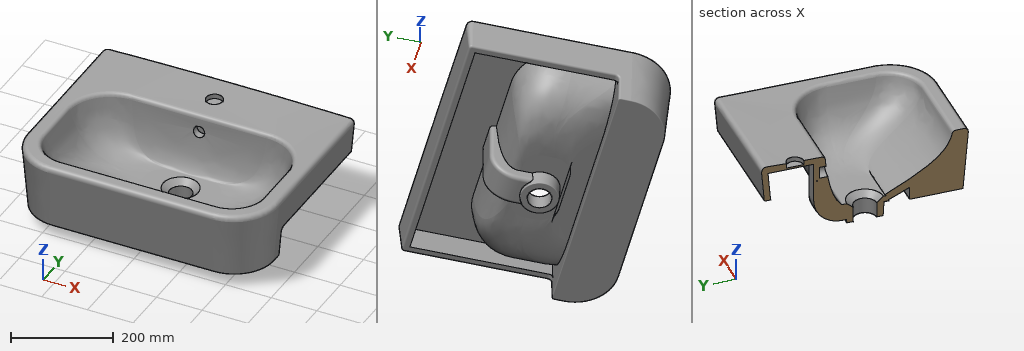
import cadquery as cq
import math

WIDTH = 550.1
DEPTH = 430.1
OVERALL_HEIGHT = 169.24
HALF_WIDTH = WIDTH / 2
HALF_DEPTH = DEPTH / 2
CROWN = 3.22
DRAIN_BOTTOM = CROWN - OVERALL_HEIGHT

RIM_BAND = 11.0
RIM_FILLET = 10.5
DRAFT = 4.9
FRONT_CORNER = 98.0
BACK_CORNER = 12.0
MIN_CORNER = 1.0
SKIRT_BOTTOM = -140.5
SIDE_BOTTOM = -77.0
APRON_BACK = -92.0
NOTCH_RADIUS = 8.0
APRON_EDGE_FILLET = 4.5
BOTTOM_FILLET = 2.0
SELECT_MARGIN = 1.0
WALL = 14.0

MOUTH_Z = 8.0
FLOOR_Z = -120.0

BOWL_STATIONS = [
    (MOUTH_Z, 242.0, 82.5, -180.5, 92.0, 70.0),
    (-75.0, 208.0, 71.0, -122.0, 72.0, 55.0),
    (-100.0, 180.0, 62.0, -76.0, 60.0, 45.0),
    (FLOOR_Z, 81.0, 45.6, -50.0, 38.0, 38.0),
]
MOUTH_FILLET = 9.0

DRAIN_BORE = 48.0
DRAIN_SEAT = 76.0
DRAIN_SEAT_DEPTH = 12.0
TUBE_TOP_DIAMETER = 82.5
TUBE_BOTTOM_DIAMETER = 76.5
TUBE_EDGE_FILLET = 1.5

CHANNEL_HALF_WIDTH = 33.0
CHANNEL_BACK = 107.0
CHANNEL_BOTTOM = -158.0
CHANNEL_BEND = 60.0
CHANNEL_FILLET = 8.0
OVERFLOW_DIAMETER = 24.0
OVERFLOW_Z = -36.0
OVERFLOW_END = 94.0

TAP_DIAMETER = 35.0
TAP_Y = 145.0
TAP_FLOOR = -9.0

FLAT_RISE = 0.02
EDGE_RISE = 3.76
CROWN_STATIONS = [
    (-HALF_DEPTH, FLAT_RISE),
    (-50.0, FLAT_RISE),
    (90.0, FLAT_RISE),
    (HALF_DEPTH, EDGE_RISE),
]


def rounded_outline(z, half_width, back, front, back_radius, front_radius):
    """Closed outline on the plane Z = z with separate front and back corner radii."""
    def mid(radius):
        return radius * (1 - math.sqrt(0.5))

    back_mid = mid(back_radius)
    front_mid = mid(front_radius)
    return (
        cq.Workplane("XY", origin=(0, 0, z))
        .moveTo(-half_width + front_radius, front)
        .lineTo(half_width - front_radius, front)
        .threePointArc((half_width - front_mid, front + front_mid), (half_width, front + front_radius))
        .lineTo(half_width, back - back_radius)
        .threePointArc((half_width - back_mid, back - back_mid), (half_width - back_radius, back))
        .lineTo(-half_width + back_radius, back)
        .threePointArc((-half_width + back_mid, back - back_mid), (-half_width, back - back_radius))
        .lineTo(-half_width, front + front_radius)
        .threePointArc((-half_width + front_mid, front + front_mid), (-half_width + front_radius, front))
        .close()
    )


def skirt_outline(z, inset=0.0):
    """Outline of the basin, moved inwards by inset."""
    return rounded_outline(
        z,
        HALF_WIDTH - inset,
        HALF_DEPTH - inset,
        -HALF_DEPTH + inset,
        max(BACK_CORNER - inset, MIN_CORNER),
        FRONT_CORNER - inset,
    )


def bowl_solid(thickness=0.0):
    """Bowl lofted through its stations, grown by thickness: downwards, and outwards above the floor."""
    wires = []
    for z, half_width, back, front, back_radius, front_radius in BOWL_STATIONS:
        drop = thickness if z < 0 else 0.0
        spread = thickness if z > FLOOR_Z else 0.0
        station = rounded_outline(
            z - drop,
            half_width + spread,
            back + spread,
            front - spread,
            back_radius + spread,
            front_radius + spread,
        )
        wires.append(station.wire().val())
    return cq.Workplane(cq.Solid.makeLoft(wires))


def deck_section(y, rise):
    """Upright section of the rim band at Y = y, its top edge arched by rise."""
    return (
        cq.Workplane("XZ", origin=(0, y, 0))
        .moveTo(-HALF_WIDTH, -RIM_BAND)
        .lineTo(-HALF_WIDTH, 0)
        .threePointArc((0, rise), (HALF_WIDTH, 0))
        .lineTo(HALF_WIDTH, -RIM_BAND)
        .close()
        .wire()
        .val()
    )


def rim_band():
    """Upright band under the rim, filleted along its top; the deck rises to a low arch at the back."""
    crowned_block = cq.Solid.makeLoft([deck_section(y, rise) for y, rise in CROWN_STATIONS])
    band = skirt_outline(-RIM_BAND).extrude(RIM_BAND + 2 * CROWN).intersect(cq.Workplane(crowned_block))
    return band.faces(">Z").edges().fillet(RIM_FILLET)


def skirt():
    """Solid outer body with the deep front apron and the shallow sides and back."""
    apron = skirt_outline(-RIM_BAND).extrude(SKIRT_BOTTOM + RIM_BAND, taper=DRAFT)
    body = apron.union(rim_band())
    notch = (
        cq.Workplane("XY")
        .box(WIDTH, DEPTH, SIDE_BOTTOM - SKIRT_BOTTOM, centered=(True, False, False))
        .translate((0, APRON_BACK, SKIRT_BOTTOM))
        .edges(">Z and <Y")
        .fillet(NOTCH_RADIUS)
    )
    body = body.cut(notch)
    apron_sides = cq.selectors.BoxSelector(
        (-HALF_WIDTH, APRON_BACK - SELECT_MARGIN, SKIRT_BOTTOM - SELECT_MARGIN),
        (HALF_WIDTH, APRON_BACK + SELECT_MARGIN, SIDE_BOTTOM - NOTCH_RADIUS),
    )
    body = body.edges(apron_sides).edges("not |X").fillet(APRON_EDGE_FILLET)
    return body.faces("<Z").edges().fillet(BOTTOM_FILLET)


def space_below_rim():
    """Everything within the width and depth of the basin that lies under the rim band."""
    return cq.Workplane("XY", origin=(0, 0, -RIM_BAND)).rect(WIDTH, DEPTH).extrude(-OVERALL_HEIGHT)


def underside_cavity():
    """Open hollow behind the apron, between the outer walls and under the deck."""
    rear_space = (
        cq.Workplane("XY")
        .box(WIDTH, DEPTH, OVERALL_HEIGHT, centered=(True, False, False))
        .translate((0, APRON_BACK, -WALL - OVERALL_HEIGHT))
    )
    inside = skirt_outline(-RIM_BAND, WALL).extrude(SKIRT_BOTTOM + RIM_BAND, taper=DRAFT)
    return inside.intersect(rear_space)


def drain_tube():
    """Tapered tube under the drain."""
    return (
        cq.Workplane("XY", origin=(0, 0, DRAIN_BOTTOM))
        .circle(TUBE_BOTTOM_DIAMETER / 2)
        .workplane(offset=FLOOR_Z - DRAIN_BOTTOM)
        .circle(TUBE_TOP_DIAMETER / 2)
        .loft()
        .faces("<Z")
        .edges()
        .fillet(TUBE_EDGE_FILLET)
    )


def overflow_channel():
    """Box-like duct from the back of the bowl, bending forward to the drain tube."""
    bend_mid = CHANNEL_BEND * (1 - math.sqrt(0.5))
    return (
        cq.Workplane("YZ", origin=(-CHANNEL_HALF_WIDTH, 0, 0))
        .moveTo(0, CHANNEL_BOTTOM)
        .lineTo(CHANNEL_BACK - CHANNEL_BEND, CHANNEL_BOTTOM)
        .threePointArc(
            (CHANNEL_BACK - bend_mid, CHANNEL_BOTTOM + bend_mid),
            (CHANNEL_BACK, CHANNEL_BOTTOM + CHANNEL_BEND),
        )
        .lineTo(CHANNEL_BACK, -RIM_BAND)
        .lineTo(0, -RIM_BAND)
        .close()
        .extrude(2 * CHANNEL_HALF_WIDTH)
        .edges("(not <Y) and (not >Z) and (not |X)")
        .fillet(CHANNEL_FILLET)
    )


def drain_bore():
    """Through bore with a conical seat."""
    bore = cq.Workplane("XY").circle(DRAIN_BORE / 2).extrude(DRAIN_BOTTOM)
    seat = cq.Solid.makeCone(
        DRAIN_BORE / 2,
        DRAIN_SEAT / 2,
        DRAIN_SEAT_DEPTH,
        pnt=cq.Vector(0, 0, FLOOR_Z - DRAIN_SEAT_DEPTH),
    )
    return bore.union(cq.Workplane(seat))


def overflow_hole():
    """Blind hole through the back wall of the bowl into the channel."""
    return (
        cq.Workplane("XZ", origin=(0, OVERFLOW_END, OVERFLOW_Z))
        .circle(OVERFLOW_DIAMETER / 2)
        .extrude(OVERFLOW_END)
    )


def tap_hole():
    """Blind tap recess in the deck."""
    return (
        cq.Workplane("XY", origin=(0, TAP_Y, TAP_FLOOR))
        .circle(TAP_DIAMETER / 2)
        .extrude(CROWN - TAP_FLOOR)
    )


def with_mouth_fillet(body):
    """Round the edge where the bowl meets the deck."""
    deck = body.faces(">Z").val()
    mouth = deck.innerWires()[0]
    return body.newObject(mouth.Edges()).fillet(MOUTH_FILLET)


shell = skirt().cut(underside_cavity())
outer_bowl = bowl_solid(WALL).intersect(space_below_rim())
basin = shell.union(outer_bowl).union(overflow_channel()).union(drain_tube())
basin = with_mouth_fillet(basin.cut(bowl_solid()))
result = basin.cut(drain_bore()).cut(overflow_hole()).cut(tap_hole())